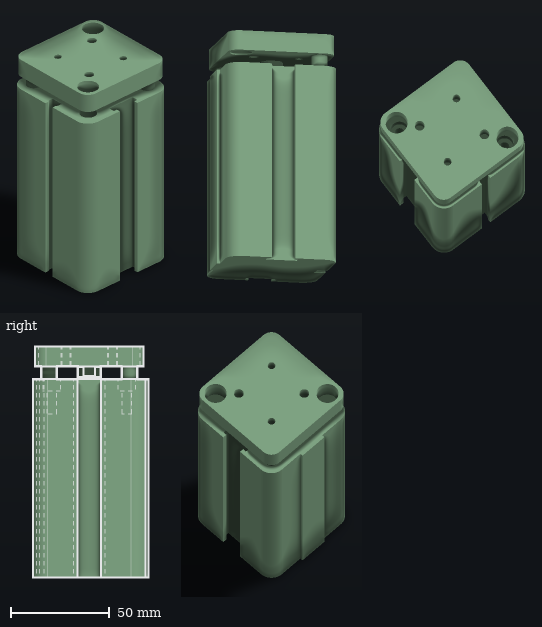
import cadquery as cq

TOTAL_HEIGHT = 117.0
TOTAL_DEPTH = 58.5

HOUSING_WIDTH = 57.0
HOUSING_HEIGHT = 100.4
HOUSING_CORNER_RADIUS = 7.5

RAIL_WIDTH = 15.7
RAIL_HEIGHT = TOTAL_DEPTH - HOUSING_WIDTH

SLOT_DEPTH = 5.6
SIDE_SLOT_MOUTH = 12.0
SIDE_SLOT_LIP = 2.2
SIDE_SLOT_CHAMBER = 16.0
FRONT_SLOT_MOUTH = 5.4
FRONT_SLOT_LIP = 1.9
FRONT_SLOT_CHAMBER = 6.9
FRONT_SLOT_UNDERCUT = 1.4

SCREW_OFFSET = 19.0
SCREW_HEAD_DIAMETER = 9.0
SCREW_HEAD_DEPTH = 5.8
SCREW_DIAMETER = 4.9
SCREW_DEPTH = 17.5

PLATE_WIDTH = 55.0
PLATE_THICKNESS = 10.1
PLATE_CORNER_RADIUS = 5.7
ACCESS_HOLE_DIAMETER = 11.2
ACCESS_HOLE_OFFSET = 20.0
MOUNT_OFFSET = 11.7
DOWEL_HOLE_DIAMETER = 5.0
THREAD_HOLE_DIAMETER = 4.0

GUIDE_OFFSET = 20.4
GUIDE_ROD_DIAMETER = 8.0
PISTON_ROD_DIAMETER = 11.7
PISTON_FLATS = 10.1
PISTON_CHAMFER = 0.4
COLLAR_DIAMETER = 12.0
COLLAR_HEIGHT = 1.0
COLLAR_CHAMFER = 0.18
FLATS_START = 1.5

PLATE_BOTTOM = TOTAL_HEIGHT - PLATE_THICKNESS
ROD_LENGTH = PLATE_BOTTOM - HOUSING_HEIGHT


def rounded_block(width, height, radius, bottom):
    block = cq.Workplane("XY").workplane(offset=bottom).rect(width, width).extrude(height)
    return block.edges("|Z").fillet(radius)


def diagonal(offset, slope):
    """Two points on a diagonal of the XY plane; slope is 1 or -1."""
    return [(offset, slope * offset), (-offset, -slope * offset)]


def cylinders(points, diameter, bottom, height):
    return (
        cq.Workplane("XY").workplane(offset=bottom)
        .pushPoints(points).circle(diameter / 2).extrude(height)
    )


def make_side_slot():
    """T-slot cutter, laid out on the -Y side."""
    mouth = (
        cq.Workplane("XY").center(0, -HOUSING_WIDTH / 2)
        .rect(SIDE_SLOT_MOUTH, 2 * SLOT_DEPTH).extrude(HOUSING_HEIGHT)
    )
    chamber_depth = SLOT_DEPTH - SIDE_SLOT_LIP
    chamber = (
        cq.Workplane("XY").center(0, -HOUSING_WIDTH / 2 + SIDE_SLOT_LIP + chamber_depth / 2)
        .rect(SIDE_SLOT_CHAMBER, chamber_depth).extrude(HOUSING_HEIGHT)
    )
    return mouth.union(chamber)


def make_front_slot():
    """Cutter for the -Y side: a straight mouth and a chamber with slanted undercuts."""
    face = -HOUSING_WIDTH / 2
    lip = face + FRONT_SLOT_LIP
    right_half = [
        (FRONT_SLOT_MOUTH / 2, face),
        (FRONT_SLOT_MOUTH / 2, lip),
        (FRONT_SLOT_CHAMBER / 2, lip + FRONT_SLOT_UNDERCUT),
        (FRONT_SLOT_CHAMBER / 2, face + SLOT_DEPTH),
    ]
    left_half = [(-x, y) for x, y in reversed(right_half)]
    return cq.Workplane("XY").polyline(right_half + left_half).close().extrude(HOUSING_HEIGHT)


def make_housing():
    """Guide housing with the sensor rail, the side slots and two counterbored holes."""
    body = rounded_block(HOUSING_WIDTH, HOUSING_HEIGHT, HOUSING_CORNER_RADIUS, 0)
    rail = (
        cq.Workplane("XY").center(0, (HOUSING_WIDTH + RAIL_HEIGHT) / 2)
        .rect(RAIL_WIDTH, RAIL_HEIGHT).extrude(HOUSING_HEIGHT)
    )
    body = body.union(rail)
    body = body.cut(make_front_slot())
    side_slot = make_side_slot()
    for angle in (90, -90):
        body = body.cut(side_slot.rotate((0, 0, 0), (0, 0, 1), angle))
    screws = diagonal(SCREW_OFFSET, -1)
    for diameter, depth in ((SCREW_HEAD_DIAMETER, SCREW_HEAD_DEPTH), (SCREW_DIAMETER, SCREW_DEPTH)):
        body = body.cut(cylinders(screws, diameter, HOUSING_HEIGHT - depth, depth))
    return body


def make_piston_rod():
    """Chamfered rod with two wrench flats facing +X and -X above a round foot and collar."""
    rod = cylinders([(0, 0)], PISTON_ROD_DIAMETER, HOUSING_HEIGHT, ROD_LENGTH)
    rod = rod.faces(">Z").chamfer(PISTON_CHAMFER)
    flats = (
        cq.Workplane("XY").workplane(offset=HOUSING_HEIGHT + FLATS_START)
        .rect(PISTON_FLATS, 2 * PISTON_ROD_DIAMETER).extrude(ROD_LENGTH)
    )
    foot = cylinders([(0, 0)], PISTON_ROD_DIAMETER, HOUSING_HEIGHT, FLATS_START)
    collar = cylinders([(0, 0)], COLLAR_DIAMETER, HOUSING_HEIGHT, COLLAR_HEIGHT)
    collar = collar.faces(">Z").chamfer(COLLAR_CHAMFER)
    return rod.intersect(flats).union(foot).union(collar)


def make_slide():
    """Moving plate with the guide rods and the piston rod that carry it; the rods end on the housing top."""
    plate = rounded_block(PLATE_WIDTH, PLATE_THICKNESS, PLATE_CORNER_RADIUS, PLATE_BOTTOM)
    holes = (
        (diagonal(ACCESS_HOLE_OFFSET, -1), ACCESS_HOLE_DIAMETER),
        (diagonal(MOUNT_OFFSET, -1), DOWEL_HOLE_DIAMETER),
        (diagonal(MOUNT_OFFSET, 1), THREAD_HOLE_DIAMETER),
    )
    for points, diameter in holes:
        plate = plate.cut(cylinders(points, diameter, PLATE_BOTTOM, PLATE_THICKNESS))
    guides = cylinders(diagonal(GUIDE_OFFSET, 1), GUIDE_ROD_DIAMETER, HOUSING_HEIGHT, ROD_LENGTH)
    return plate.union(guides).union(make_piston_rod())


housing = make_housing()
slide = make_slide()
result = cq.Compound.makeCompound([housing.val(), slide.val()])